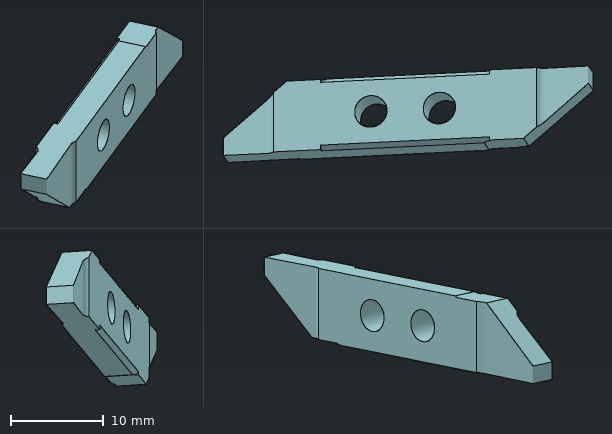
import cadquery as cq
import math

thickness = 3.6
length = 40.0
height = 8.0

tip_height = 1.95
nose_angle = 40.0
land_drop = 0.15
land_end_y = 9.1
ramp_radius = 1.0

back_corner_radius = 0.05
front_corner_radius = 0.1

back_tip_inset = 0.41
back_step_y = 14.4
front_tip_inset = 0.145
front_step_y = 11.75
relief_angle = 1.0
step_radius = 1.0

chamfer_size = 0.5
chamfer_length = 18.45

hole_diameter = 3.5
hole_spacing = 7.5

half_x = thickness / 2
half_y = length / 2
half_z = height / 2
tolerance = 1e-4
arc_iterations = 20


def half_turn(shape):
    """Copy of a shape for the opposite end of the part."""
    return shape.rotate((0, 0, 0), (1, 0, 0), 180)


def make_body():
    """Parallelogram-like plate with a blunt tip at each end and a sloping nose."""
    nose_run = (height - tip_height - land_drop) / math.tan(math.radians(nose_angle))
    nose_points = [
        (half_y, -half_z),
        (half_y, tip_height - half_z),
        (half_y - nose_run, half_z - land_drop),
    ]

    ramp_angle = math.acos(1 - land_drop / ramp_radius)
    ramp_end_y = land_end_y - ramp_radius * math.sin(ramp_angle)
    ramp_mid_y = land_end_y - ramp_radius * math.sin(ramp_angle / 2)
    ramp_mid_z = half_z - land_drop + ramp_radius * (1 - math.cos(ramp_angle / 2))

    outline = (
        cq.Workplane("YZ", origin=(-half_x, 0, 0))
        .polyline(nose_points)
        .lineTo(land_end_y, half_z - land_drop)
        .threePointArc((ramp_mid_y, ramp_mid_z), (ramp_end_y, half_z))
        .lineTo(-half_y, half_z)
        .lineTo(-half_y, half_z - tip_height)
        .lineTo(nose_run - half_y, land_drop - half_z)
        .lineTo(-land_end_y, land_drop - half_z)
        .threePointArc((-ramp_mid_y, -ramp_mid_z), (-ramp_end_y, -half_z))
        .close()
    )
    return outline.extrude(thickness)


def make_blade_relief(side, tip_inset, step_y):
    """Cutter for one face (side is -1 or +1 along X) of the blade at the +Y end."""
    slope = math.tan(math.radians(relief_angle))

    arc_run = 0.0
    for _ in range(arc_iterations):
        depth = tip_inset + slope * (half_y - step_y - arc_run)
        arc_run = math.sqrt(step_radius**2 - (step_radius - depth) ** 2)

    arc_angle = math.asin(arc_run / step_radius)
    mid_y = step_y + arc_run - step_radius * math.sin(arc_angle / 2)
    mid_depth = depth - step_radius * (1 - math.cos(arc_angle / 2))

    return (
        cq.Workplane("XY", origin=(0, 0, -half_z))
        .moveTo(side * half_x, step_y)
        .threePointArc((side * (half_x - mid_depth), mid_y), (side * (half_x - depth), step_y + arc_run))
        .lineTo(side * (half_x - tip_inset), half_y)
        .lineTo(side * half_x, half_y)
        .close()
        .extrude(height)
    )


def make_edge_chamfer():
    """Triangular prism along Y for the upper edge of the -X face."""
    return (
        cq.Workplane("XZ", origin=(0, chamfer_length / 2, 0))
        .moveTo(-half_x, half_z)
        .lineTo(-half_x + chamfer_size, half_z)
        .lineTo(-half_x, half_z - chamfer_size)
        .close()
        .extrude(chamfer_length)
    )


def make_holes():
    """Two cylinders through the full thickness, centred on the plate."""
    return (
        cq.Workplane("YZ", origin=(-half_x, 0, 0))
        .pushPoints([(-hole_spacing / 2, 0), (hole_spacing / 2, 0)])
        .circle(hole_diameter / 2)
        .extrude(thickness)
    )


def round_tip_corners(part, side, radius):
    """Round the upright tip corners on the chosen side (-1 or +1) along X."""
    corners = [
        edge
        for edge in part.edges("|Z").vals()
        if half_y - abs(edge.Center().y) < tolerance and side * edge.Center().x > 0
    ]
    return part.newObject(corners).fillet(radius)


result = make_body().cut(make_holes())

end_cutters = [
    make_blade_relief(-1, back_tip_inset, back_step_y),
    make_blade_relief(1, front_tip_inset, front_step_y),
    make_edge_chamfer(),
]
for cutter in end_cutters:
    result = result.cut(cutter).cut(half_turn(cutter))

result = round_tip_corners(result, -1, back_corner_radius)
result = round_tip_corners(result, 1, front_corner_radius)